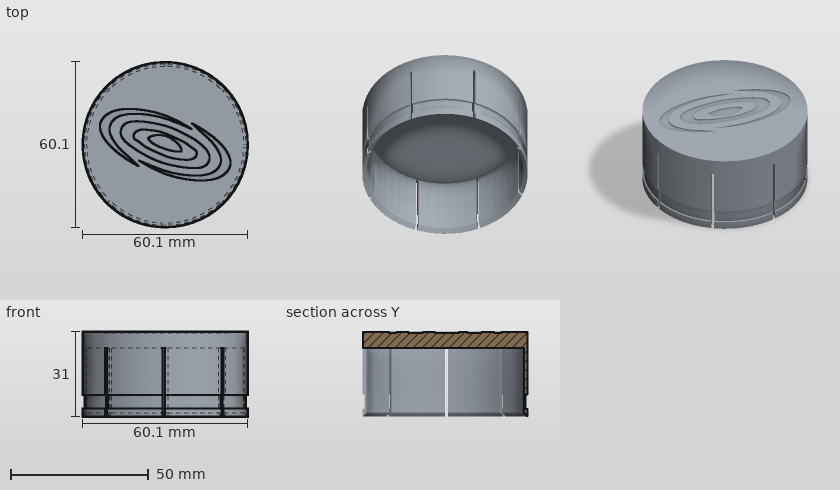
import cadquery as cq

outer_diameter = 60.1
height = 31.0
outer_radius = outer_diameter / 2
wall = 1.5
inner_radius = outer_radius - wall
slot_height = 25.0
cavity_height = slot_height
lead_in = 1.45

groove_bottom = 3.0
groove_height = 5.0
groove_depth = 0.7

slot_count = 8
slot_width = 1.0

recess_depth = 0.5
tip_upper = (9.6, 5.7)
tip_lower = (-9.8, -7.75)
arm_outer_edge = [
    (4.7, 8.55), (-0.7, 10.9), (-9.45, 12.8), (-15.9, 12.85), (-20.8, 11.25), (-23.6, 7.65),
    (-22.55, 2.8), (-19.2, -1.25), (-13.95, -5.3),
]
arm_inner_edge = [
    (4.7, 7.8), (-1.8, 10.05), (-7.8, 11.05), (-13.75, 11.05), (-18.8, 8.95), (-20.25, 5.95),
    (-19.2, 2.1), (-14.85, -3.05),
]
ring_outer_half = [
    (-16.1, 5.2), (-14.85, 7.4), (-10.5, 8.55), (-5.05, 8.0), (1.45, 6.45), (8.0, 3.4), (13.4, -0.2),
]
ring_inner_half = [
    (-11.4, 2.65), (-11.2, 4.15), (-9.45, 5.3), (-6.15, 5.4), (-1.8, 4.7), (3.6, 2.5), (8.0, 0.2), (10.15, -1.45),
]
core_outline = [
    (-6.1, 2.5), (-4.5, 3.25), (-1.8, 3.5), (1.1, 2.9), (3.6, 1.25), (5.75, -1.25), (5.95, -2.3),
    (4.7, -2.5), (1.8, -2.1), (-1.8, -0.9), (-4.5, 0.5), (-5.75, 1.6),
]


def cylinder(radius, bottom, length):
    return cq.Workplane("XY").workplane(offset=bottom).circle(radius).extrude(length)


def full_outline(half_outline):
    return half_outline + [(-x, -y) for x, y in half_outline]


def recess_sketch():
    return cq.Workplane("XY").workplane(offset=height - recess_depth)


def closed_recess(outline):
    return recess_sketch().spline(outline, periodic=True).close().extrude(recess_depth)


def arm_recess():
    return (
        recess_sketch()
        .moveTo(*tip_upper)
        .spline(arm_outer_edge + [tip_lower], includeCurrent=True)
        .spline(arm_inner_edge[::-1] + [tip_upper], includeCurrent=True)
        .close()
        .extrude(recess_depth)
    )


def hollow_cap():
    cavity = cylinder(inner_radius, 0, cavity_height)
    mouth_cone = cq.Workplane(
        cq.Solid.makeCone(inner_radius + lead_in, inner_radius, lead_in)
    )
    return cylinder(outer_radius, 0, height).cut(cavity).cut(mouth_cone)


def snap_groove():
    band = cylinder(outer_radius, groove_bottom, groove_height)
    return band.cut(cylinder(outer_radius - groove_depth, groove_bottom, groove_height))


def skirt_slot(angle):
    slot = cq.Workplane("XY").box(slot_width, outer_radius, slot_height, centered=False)
    return slot.rotate((0, 0, 0), (0, 0, 1), angle)


result = hollow_cap().cut(snap_groove())
for index in range(slot_count):
    result = result.cut(skirt_slot(index * 360 / slot_count))

arm = arm_recess()
result = result.cut(arm).cut(arm.rotate((0, 0, 0), (0, 0, 1), 180))
ring_outer = closed_recess(full_outline(ring_outer_half))
ring_inner = closed_recess(full_outline(ring_inner_half))
result = result.cut(ring_outer.cut(ring_inner))
result = result.cut(closed_recess(core_outline))